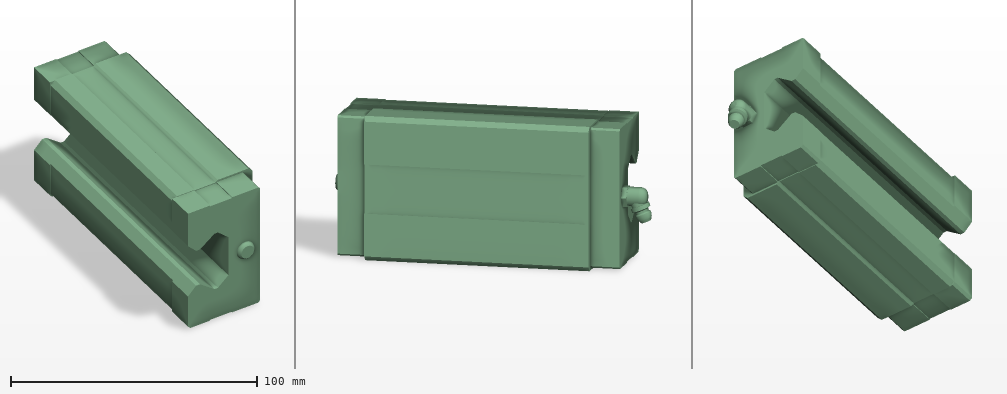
import cadquery as cq
import math

body_length = 93.4
cap_length = 12.1
cap_face_x = body_length / 2 + cap_length

body_back_y = 38.5
body_front_y = 0.4
body_upper_half_height = 30.0
body_waist_half_height = 29.1
body_lower_half_height = 29.4
body_back_chamfer = 2.0
body_front_chamfer = 2.0
step_back_y = 21.9
step_front_y = 20.5
waist_end_y = 10.6
back_relief_depth = 0.45
back_relief_half_height = 10.2

cap_back_y = 34.5
cap_half_height = 29.1
cap_waist_half_height = 28.7
cap_waist_start_y = 21.2
cap_back_chamfer = 0.8
cap_front_chamfer = 1.1

channel_floor_y = 19.4
channel_floor_half_height = 9.6
groove_half_height = 14.0
groove_back_y = 14.35
groove_front_y = 12.65
lip_half_height = 8.8
lip_back_y = 5.8
lip_front_y = 3.9
channel_mouth_half_height = 12.75

fitting_y = 27.5
hex_across_flats = 8.0
hex_length = 2.1
elbow_diameter = 7.85
elbow_length = 10.0
elbow_round_start = 7.1
elbow_flat_diameter = 3.0
shoulder_diameter = 8.0
shoulder_length = 0.4
nipple_tilt = 22.5
nipple_offset = 5.29
stem_diameter = 6.65
collar_diameter = 8.0
neck_diameter = 5.5
head_diameter = 6.6
tip_diameter = 4.2
collar_start = 3.8
collar_end = 5.5
neck_start = 6.0
neck_end = 7.0
head_start = 7.5
head_bulge = 8.8
head_bulge_diameter = 6.4
cone_start = 9.9
cone_diameter = 5.5
tip_end = 11.0

plug_diameter = 8.2
plug_height = 1.8
plug_bulge = 1.0
plug_bulge_diameter = 7.5
plug_flat_diameter = 6.0


def extrude_mirrored(upper_half, length):
    """Extrude a (Y, Z) section along X, centred; the lower half mirrors the upper half."""
    lower_half = [(y, -z) for y, z in reversed(upper_half)]
    section = cq.Workplane("YZ").polyline(upper_half + lower_half).close()
    return section.extrude(length / 2, both=True)


def make_body():
    front_corner_y = body_front_y + body_front_chamfer
    return extrude_mirrored(
        [
            (body_back_y - back_relief_depth, back_relief_half_height),
            (body_back_y, back_relief_half_height),
            (body_back_y, body_upper_half_height - body_back_chamfer),
            (body_back_y - body_back_chamfer, body_upper_half_height),
            (step_back_y, body_upper_half_height),
            (step_front_y, body_waist_half_height),
            (waist_end_y, body_waist_half_height),
            (waist_end_y, body_lower_half_height),
            (front_corner_y, body_lower_half_height),
            (body_front_y, body_lower_half_height - body_front_chamfer),
        ],
        body_length,
    )


def make_caps():
    """Both end caps: one full length bar with the stretch between them removed."""
    bar = extrude_mirrored(
        [
            (cap_back_y, cap_half_height - cap_back_chamfer),
            (cap_back_y - cap_back_chamfer, cap_half_height),
            (cap_waist_start_y, cap_half_height),
            (cap_waist_start_y, cap_waist_half_height),
            (waist_end_y, cap_waist_half_height),
            (waist_end_y, cap_half_height),
            (0, cap_half_height),
        ],
        2 * cap_face_x,
    )
    bar = bar.faces("<Y").edges("<Z").chamfer(cap_front_chamfer)
    middle = cq.Workplane("XY").box(body_length, 2 * body_back_y, 2 * body_upper_half_height)
    return bar.cut(middle)


def make_channel():
    return extrude_mirrored(
        [
            (channel_floor_y, channel_floor_half_height),
            (groove_back_y, groove_half_height),
            (groove_front_y, groove_half_height),
            (lip_back_y, lip_half_height),
            (lip_front_y, lip_half_height),
            (0, channel_mouth_half_height),
        ],
        2 * cap_face_x,
    )


def make_nipple():
    """Turned nipple about its own axis, tilted downwards and away from the cap."""
    tilt = math.radians(nipple_tilt)
    axis_plane = cq.Plane(
        origin=(-cap_face_x - nipple_offset, fitting_y, 0),
        xDir=(math.cos(tilt), 0, -math.sin(tilt)),
        normal=(0, 1, 0),
    )
    stem_collar_and_neck = [
        (0, 0),
        (stem_diameter / 2, 0),
        (stem_diameter / 2, collar_start),
        (collar_diameter / 2, collar_start),
        (collar_diameter / 2, collar_end),
        (neck_diameter / 2, neck_start),
        (neck_diameter / 2, neck_end),
        (head_diameter / 2, head_start),
    ]
    profile = (
        cq.Workplane(axis_plane)
        .polyline(stem_collar_and_neck)
        .threePointArc((head_bulge_diameter / 2, head_bulge), (cone_diameter / 2, cone_start))
        .lineTo(tip_diameter / 2, tip_end)
        .lineTo(0, tip_end)
        .close()
    )
    return profile.revolve(360, (0, 0), (0, 1))


def make_elbow():
    """Turned elbow stub: shoulder against the hexagon, barrel and rounded end with a small flat."""
    outward_plane = cq.Plane(origin=(-cap_face_x, fitting_y, 0), xDir=(-1, 0, 0), normal=(0, 1, 0))
    shoulder_end = hex_length + shoulder_length
    profile = (
        cq.Workplane(outward_plane)
        .lineTo(0, shoulder_diameter / 2)
        .lineTo(shoulder_end, shoulder_diameter / 2)
        .lineTo(shoulder_end, elbow_diameter / 2)
        .lineTo(elbow_round_start, elbow_diameter / 2)
        .tangentArcPoint((elbow_length, elbow_flat_diameter / 2), relative=False)
        .lineTo(elbow_length, 0)
        .close()
    )
    return profile.revolve(360, (0, 0), (1, 0))


def make_fitting():
    hex_across_corners = hex_across_flats / math.cos(math.pi / 6)
    cap_face = cq.Workplane("YZ", origin=(-cap_face_x, fitting_y, 0))
    hexagon = cap_face.polygon(6, hex_across_corners).extrude(-hex_length)
    return hexagon.union(make_elbow()).union(make_nipple())


def make_plug():
    """Domed plug head with a small flat on top."""
    outward_plane = cq.Plane(origin=(cap_face_x, fitting_y, 0), xDir=(1, 0, 0), normal=(0, -1, 0))
    profile = (
        cq.Workplane(outward_plane)
        .lineTo(0, plug_diameter / 2)
        .threePointArc((plug_bulge, plug_bulge_diameter / 2), (plug_height, plug_flat_diameter / 2))
        .lineTo(plug_height, 0)
        .close()
    )
    return profile.revolve(360, (0, 0), (1, 0))


carriage = make_body().union(make_caps()).cut(make_channel())
result = carriage.union(make_fitting()).union(make_plug())